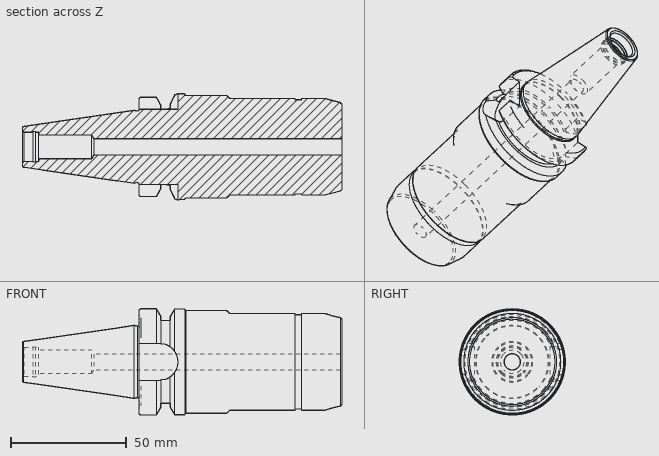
import cadquery as cq
import math


gauge_diameter = 31.75
taper_rate = 7 / 24
shank_length = 48.4
shank_edge_chamfer = 0.4
neck_diameter = 31.2
neck_start = 0.9
neck_end = 1.5

flange_diameter = 46.0
flange_start = 2.0
flange_end = 22.0
flange_front_round = 1.0
flange_back_round = 0.5
shoulder_lead_in = 0.5
groove_diameter = 36.0
groove_floor_start = 11.6
groove_floor_width = 4.0
groove_wall_angle = 30.0
groove_flank_length = 1.95

slot_width = 16.1
slot_floor_offset = 16.3
slot_end = 18.9

shoulder_diameter = 44.5
shoulder_end = 40.1
shoulder_edge_round = 0.5
shoulder_root_round = 1.0
nose_diameter = 42.0
nose_end = 90.0
nose_end_chamfer = 0.7
nose_taper_start = 82.5
nose_taper_angle = 15.0
nose_blend_radius = 2.0
ring_groove_diameter = 41.0
ring_groove_start = 69.4
ring_groove_end = 72.7
ring_groove_round = 0.3

mouth_diameter = 14.0
pilot_diameter = 12.5
pilot_depth = 7.0
undercut_diameter = 13.1
undercut_start_depth = 4.5
undercut_width = 1.1
thread_diameter = 10.11
thread_depth = 30.0
coolant_diameter = 6.92
drill_point_angle = 59.0


def radius_of_taper(x):
    return (gauge_diameter + taper_rate * x) / 2


def revolve_about_x(sketch):
    return sketch.close().revolve(360, (0, 0, 0), (1, 0, 0))


def make_shank():
    shank_start = -shank_length
    chamfer_end = shank_start + shank_edge_chamfer
    gauge_radius = radius_of_taper(0)
    neck_radius = neck_diameter / 2
    return revolve_about_x(
        cq.Workplane("XY")
        .moveTo(shank_start, 0)
        .lineTo(shank_start, radius_of_taper(shank_start) - shank_edge_chamfer)
        .lineTo(chamfer_end, radius_of_taper(chamfer_end))
        .lineTo(0, gauge_radius)
        .lineTo(neck_start, neck_radius)
        .lineTo(neck_end, neck_radius)
        .lineTo(flange_start, gauge_radius)
        .lineTo(flange_start, 0)
    )


def make_flange():
    radius = flange_diameter / 2
    shoulder_radius = shoulder_diameter / 2
    return revolve_about_x(
        cq.Workplane("XY")
        .moveTo(flange_start, 0)
        .lineTo(flange_start, radius - flange_front_round)
        .radiusArc((flange_start + flange_front_round, radius), flange_front_round)
        .lineTo(flange_end - flange_back_round, radius)
        .radiusArc((flange_end, radius - flange_back_round), flange_back_round)
        .lineTo(flange_end + shoulder_lead_in, shoulder_radius)
        .lineTo(flange_end + shoulder_lead_in, 0)
    )


def make_body():
    body_start = flange_end + shoulder_lead_in
    shoulder_radius = shoulder_diameter / 2
    nose_radius = nose_diameter / 2

    nose_start = shoulder_end + shoulder_radius - nose_radius
    step_angle = math.radians(45)
    edge_tangent = shoulder_edge_round * math.tan(step_angle / 2)
    root_tangent = shoulder_root_round * math.tan(step_angle / 2)
    edge_offset = edge_tangent * math.cos(step_angle)
    root_offset = root_tangent * math.cos(step_angle)

    taper_angle = math.radians(nose_taper_angle)
    taper_end = nose_end - nose_end_chamfer
    taper_end_radius = nose_radius - (taper_end - nose_taper_start) * math.tan(taper_angle)
    blend_tangent = nose_blend_radius * math.tan(taper_angle / 2)
    blend_end = (
        nose_taper_start + blend_tangent * math.cos(taper_angle),
        nose_radius - blend_tangent * math.sin(taper_angle),
    )
    return revolve_about_x(
        cq.Workplane("XY")
        .moveTo(body_start, 0)
        .lineTo(body_start, shoulder_radius)
        .lineTo(shoulder_end - edge_tangent, shoulder_radius)
        .radiusArc((shoulder_end + edge_offset, shoulder_radius - edge_offset), shoulder_edge_round)
        .lineTo(nose_start - root_offset, nose_radius + root_offset)
        .radiusArc((nose_start + root_tangent, nose_radius), -shoulder_root_round)
        .lineTo(nose_taper_start - blend_tangent, nose_radius)
        .radiusArc(blend_end, nose_blend_radius)
        .lineTo(taper_end, taper_end_radius)
        .lineTo(nose_end, taper_end_radius - nose_end_chamfer)
        .lineTo(nose_end, 0)
    )


def make_v_groove():
    floor_radius = groove_diameter / 2
    flange_radius = flange_diameter / 2
    floor_end = groove_floor_start + groove_floor_width
    flank_height = groove_flank_length / math.tan(math.radians(groove_wall_angle))
    wall_top = flange_radius - flank_height
    return revolve_about_x(
        cq.Workplane("XY")
        .moveTo(groove_floor_start, floor_radius)
        .lineTo(groove_floor_start, wall_top)
        .lineTo(groove_floor_start - groove_flank_length, flange_radius)
        .lineTo(floor_end + groove_flank_length, flange_radius)
        .lineTo(floor_end, wall_top)
        .lineTo(floor_end, floor_radius)
    )


def make_ring_groove():
    floor_radius = ring_groove_diameter / 2
    rim_radius = nose_diameter / 2
    wall_top = rim_radius - ring_groove_round
    return revolve_about_x(
        cq.Workplane("XY")
        .moveTo(ring_groove_start, rim_radius)
        .radiusArc((ring_groove_start + ring_groove_round, wall_top), ring_groove_round)
        .lineTo(ring_groove_start + ring_groove_round, floor_radius)
        .lineTo(ring_groove_end - ring_groove_round, floor_radius)
        .lineTo(ring_groove_end - ring_groove_round, wall_top)
        .radiusArc((ring_groove_end, rim_radius), ring_groove_round)
    )


def make_drive_slot(side):
    half_width = slot_width / 2
    slot = (
        cq.Workplane("XZ")
        .moveTo(flange_start, -half_width)
        .lineTo(slot_end - half_width, -half_width)
        .threePointArc((slot_end, 0), (slot_end - half_width, half_width))
        .lineTo(flange_start, half_width)
        .close()
        .extrude(-side * flange_diameter / 2)
    )
    return slot.translate((0, side * slot_floor_offset, 0))


def make_bore():
    mouth = -shank_length
    pilot_end = mouth + pilot_depth
    thread_end = mouth + thread_depth
    undercut_start = mouth + undercut_start_depth
    undercut_end = undercut_start + undercut_width
    mouth_chamfer = (mouth_diameter - pilot_diameter) / 2
    point_length = (thread_diameter - coolant_diameter) / 2 / math.tan(math.radians(drill_point_angle))
    return revolve_about_x(
        cq.Workplane("XY")
        .moveTo(mouth, 0)
        .lineTo(mouth, mouth_diameter / 2)
        .lineTo(mouth + mouth_chamfer, pilot_diameter / 2)
        .lineTo(undercut_start, pilot_diameter / 2)
        .lineTo(undercut_start, undercut_diameter / 2)
        .lineTo(undercut_end, undercut_diameter / 2)
        .lineTo(undercut_end, pilot_diameter / 2)
        .lineTo(pilot_end, pilot_diameter / 2)
        .lineTo(pilot_end, thread_diameter / 2)
        .lineTo(thread_end, thread_diameter / 2)
        .lineTo(thread_end + point_length, coolant_diameter / 2)
        .lineTo(nose_end, coolant_diameter / 2)
        .lineTo(nose_end, 0)
    )


result = make_shank().union(make_flange()).union(make_body())
result = result.cut(make_v_groove()).cut(make_ring_groove())
for side in (-1, 1):
    result = result.cut(make_drive_slot(side))
result = result.cut(make_bore())